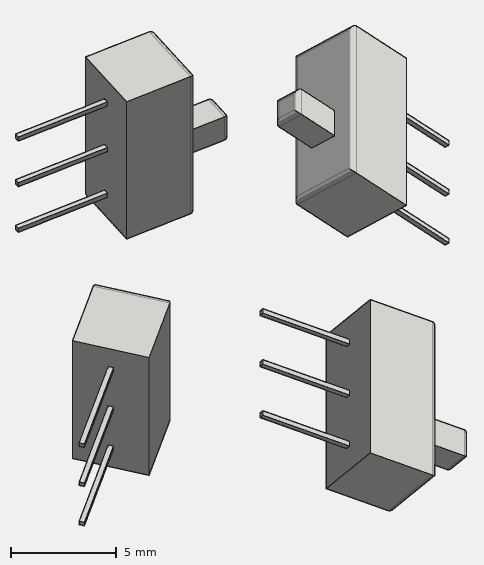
import cadquery as cq

total_length = 11.25

body_width = 3.77
body_depth = 3.77
body_height = 8.6

pin_size = 0.26
pin_length = 4.92
pin_pitch = 2.86
pin_count = 3

knob_size = 1.46
knob_offset_z = -0.97
knob_length = total_length - pin_length - body_depth

edge_radius = 0.25


def block(width, length, height, start_y, center_z=0):
    """Box centred on X, running along +Y from start_y."""
    return (
        cq.Workplane("XY")
        .box(width, length, height, centered=(True, False, True))
        .translate((0, start_y, center_z))
    )


def rounded_block(width, length, height, start_y, center_z=0):
    """Block with the edges around its +Y face rounded."""
    plain = block(width, length, height, start_y, center_z)
    return plain.faces(">Y").edges().fillet(edge_radius)


body = rounded_block(body_width, body_depth, body_height, 0)
knob = rounded_block(knob_size, knob_length, knob_size, body_depth, knob_offset_z)
result = body.union(knob)

for index in range(pin_count):
    pin_z = (index - (pin_count - 1) / 2) * pin_pitch
    result = result.union(block(pin_size, pin_length, pin_size, -pin_length, pin_z))